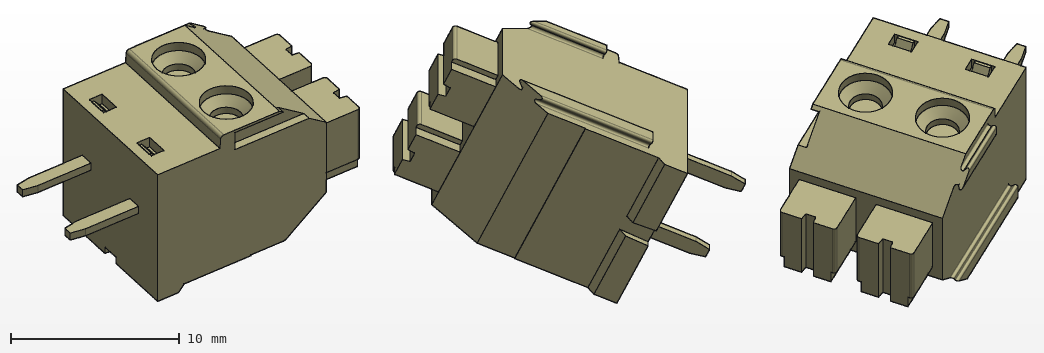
import cadquery as cq
import math


POLE_COUNT = 2
POLE_PITCH = 5.0
FIRST_POLE_X = 2.48

BODY_WIDTH = FIRST_POLE_X * 2 + POLE_PITCH
BODY_LENGTH = 12.12
TOP_Z = 10.5
SHOULDER_Z = 9.58
SHOULDER_Y = 4.47
RIDGE_FRONT_Y = 4.53
RIDGE_BACK_Y = 8.75
RIDGE_FILLET = 0.24
BACK_FACE_TOP_Z = 8.15
BACK_FACE_BOTTOM_Z = 2.87
LOWER_SLOPE_FRONT_Y = 9.15
BASE_STEP_Y = 6.7
BASE_BACK_Z = 0.53
BASE_Z = 0.48
FOOT_TOP_Y = 1.9
FOOT_BOTTOM_Y = 1.5
FOOT_NOTCH_FRONT_WIDTH = 1.15
FOOT_NOTCH_BACK_WIDTH = 0.99

HOLE_Y = 6.61
HOLE_DIAMETER = 3.2
HOLE_INNER_DIAMETER = 2.0
HOLE_STRAIGHT_DEPTH = 0.61
HOLE_CONE_DEPTH = 1.15
HOLE_DEPTH = 1.62

POCKET_WIDTH = 1.5
POCKET_FRONT_Y = 0.71
POCKET_BACK_Y = 1.62
POCKET_DEPTH = 0.71
WEDGE_WIDTH = 1.05
WEDGE_BACK_Y = 1.45
WEDGE_CREST_Y = 0.9
WEDGE_CREST_DROP = 0.04

CLAMP_WIDTH = 3.68
CLAMP_END_Y = 15.0
CLAMP_TOP_Z = 7.5
CLAMP_STEP_Z = 3.75
CLAMP_BOTTOM_Z = 2.91
CLAMP_FILLET = 0.2
CLAMP_INSET = 0.32
CLAMP_NOTCH_MOUTH = 0.77
CLAMP_NOTCH_FLOOR = 0.63
CLAMP_NOTCH_DEPTH = 0.48

PIN_WIDTH = 0.91
PIN_TIP_WIDTH = 0.57
PIN_LENGTH = 4.8
PIN_TAPER_LENGTH = 0.97
PIN_TOP_Z = 5.88
PIN_BOTTOM_Z = 5.35

UPPER_RAIL_Z = 9.66
UPPER_RAIL_FRONT_Y = 5.55
UPPER_RAIL_REACH = 0.55
UPPER_RAIL_HEIGHT = 0.8
UPPER_NECK_HEIGHT = 0.5
UPPER_ROOT_HEIGHT = 0.77
LOWER_RAIL_Z = 1.58
LOWER_RAIL_FRONT_Y = 2.55
LOWER_RAIL_REACH = 0.61
LOWER_RAIL_HEIGHT = 1.15
LOWER_NECK_HEIGHT = 0.65
LOWER_ROOT_HEIGHT = 0.91
RAIL_TIP_RADIUS = 0.129
NECK_START_X = -0.24
NECK_MIDDLE_X = -0.14
SLOT_DEPTH = 0.55
SLOT_HEIGHT = 1.29

POLE_XS = [FIRST_POLE_X + i * POLE_PITCH for i in range(POLE_COUNT)]


def box(x_range, y_range, z_range):
    """Box between two limits on each axis."""
    sizes = [high - low for low, high in (x_range, y_range, z_range)]
    corner = (x_range[0], y_range[0], z_range[0])
    return cq.Workplane("XY").box(*sizes, centered=False).translate(corner)


def around(center, width):
    """Limits of a span of the given width about a center."""
    return (center - width / 2, center + width / 2)


def housing_prism(x_start, x_end):
    """Side outline of the housing, extruded along X."""
    outline = [
        (0, 0),
        (0, SHOULDER_Z),
        (SHOULDER_Y, SHOULDER_Z),
        (RIDGE_FRONT_Y, TOP_Z),
        (RIDGE_BACK_Y, TOP_Z),
        (BODY_LENGTH, BACK_FACE_TOP_Z),
        (BODY_LENGTH, BACK_FACE_BOTTOM_Z),
        (LOWER_SLOPE_FRONT_Y, BASE_BACK_Z),
        (BASE_STEP_Y, BASE_BACK_Z),
        (BASE_STEP_Y, BASE_Z),
        (FOOT_TOP_Y, BASE_Z),
        (FOOT_BOTTOM_Y, 0),
    ]
    plane = cq.Workplane("YZ", origin=(x_start, 0, 0))
    return plane.polyline(outline).close().extrude(x_end - x_start)


def foot_notch():
    """Notch through the foot that narrows slightly from front to back."""
    middle_x = BODY_WIDTH / 2
    outline = [
        (middle_x - FOOT_NOTCH_FRONT_WIDTH / 2, 0),
        (middle_x + FOOT_NOTCH_FRONT_WIDTH / 2, 0),
        (middle_x + FOOT_NOTCH_BACK_WIDTH / 2, FOOT_TOP_Y),
        (middle_x - FOOT_NOTCH_BACK_WIDTH / 2, FOOT_TOP_Y),
    ]
    return cq.Workplane("XY").polyline(outline).close().extrude(BASE_Z)


def housing():
    """Housing with its rounded ridge, foot notch and mating slot."""
    body = housing_prism(0, BODY_WIDTH)
    ridge_edge = cq.selectors.NearestToPointSelector((BODY_WIDTH / 2, RIDGE_FRONT_Y, TOP_Z))
    body = body.edges(ridge_edge).fillet(RIDGE_FILLET)
    slot = box(
        (BODY_WIDTH - SLOT_DEPTH, BODY_WIDTH),
        (UPPER_RAIL_FRONT_Y, BODY_LENGTH),
        around(UPPER_RAIL_Z, SLOT_HEIGHT),
    )
    return body.cut(foot_notch()).cut(slot)


def rail(center_z, front_y, reach, height, neck_height, root_height):
    """Dovetail rail with rounded tips, ending flush with the sloping back of the housing."""
    tip_x = -reach + RAIL_TIP_RADIUS
    tip_z = height / 2 - RAIL_TIP_RADIUS

    def tip_point(degrees):
        angle = math.radians(degrees)
        return (tip_x + RAIL_TIP_RADIUS * math.cos(angle), tip_z + RAIL_TIP_RADIUS * math.sin(angle))

    tip_end = tip_point(45)
    neck_start = (NECK_START_X, tip_end[1] - (NECK_START_X - tip_end[0]))
    half = (
        cq.Workplane("XZ", origin=(0, front_y, center_z))
        .moveTo(0, 0)
        .lineTo(-reach, 0)
        .lineTo(-reach, tip_z)
        .threePointArc(tip_point(90), tip_end)
        .lineTo(*neck_start)
        .threePointArc((NECK_MIDDLE_X, neck_height / 2), (0, root_height / 2))
        .close()
        .extrude(front_y - BODY_LENGTH)
    )
    whole = half.union(half.mirror("XY", (0, 0, center_z)))
    return whole.intersect(housing_prism(-reach, 0))


def stepped_hole(x):
    """Straight mouth, conical lead-in and a narrower blind bore, as one revolved profile."""
    mouth_radius = HOLE_DIAMETER / 2
    bore_radius = HOLE_INNER_DIAMETER / 2
    profile = [
        (0, 0),
        (mouth_radius, 0),
        (mouth_radius, -HOLE_STRAIGHT_DEPTH),
        (bore_radius, -HOLE_CONE_DEPTH),
        (bore_radius, -HOLE_DEPTH),
        (0, -HOLE_DEPTH),
    ]
    plane = cq.Workplane("XZ", origin=(x, HOLE_Y, TOP_Z))
    return plane.polyline(profile).close().revolve(360, (0, 0), (0, 1))


def test_pocket(x):
    """Rectangular pocket with a wedge on its floor that rises to the front wall."""
    floor_z = SHOULDER_Z - POCKET_DEPTH
    crest_z = SHOULDER_Z - WEDGE_CREST_DROP
    pocket = box(around(x, POCKET_WIDTH), (POCKET_FRONT_Y, POCKET_BACK_Y), (floor_z, SHOULDER_Z))
    wedge_outline = [
        (POCKET_FRONT_Y, floor_z),
        (WEDGE_BACK_Y, floor_z),
        (WEDGE_CREST_Y, crest_z),
        (POCKET_FRONT_Y, crest_z),
    ]
    plane = cq.Workplane("YZ", origin=(x - WEDGE_WIDTH / 2, 0, 0))
    wedge = plane.polyline(wedge_outline).close().extrude(WEDGE_WIDTH)
    return pocket.cut(wedge)


def clamp(x):
    """Clamp block with rounded end corners, a narrower lower part and a notch in its end."""
    y_range = (BODY_LENGTH, CLAMP_END_Y)
    block = box(around(x, CLAMP_WIDTH), y_range, (CLAMP_STEP_Z, CLAMP_TOP_Z))
    block = block.edges("|Z and >Y").fillet(CLAMP_FILLET)
    lower_width = CLAMP_WIDTH - 2 * CLAMP_INSET
    lower = box(around(x, lower_width), y_range, (CLAMP_BOTTOM_Z, CLAMP_STEP_Z))
    notch_floor_y = CLAMP_END_Y - CLAMP_NOTCH_DEPTH
    notch_outline = [
        (x - CLAMP_NOTCH_MOUTH / 2, CLAMP_END_Y),
        (x - CLAMP_NOTCH_FLOOR / 2, notch_floor_y),
        (x + CLAMP_NOTCH_FLOOR / 2, notch_floor_y),
        (x + CLAMP_NOTCH_MOUTH / 2, CLAMP_END_Y),
    ]
    plane = cq.Workplane("XY", origin=(0, 0, CLAMP_BOTTOM_Z))
    notch = plane.polyline(notch_outline).close().extrude(CLAMP_TOP_Z - CLAMP_BOTTOM_Z)
    return block.union(lower).cut(notch)


def pin(x):
    """Flat solder pin with a tapered tip."""
    taper_y = PIN_TAPER_LENGTH - PIN_LENGTH
    outline = [
        (x - PIN_WIDTH / 2, 0),
        (x - PIN_WIDTH / 2, taper_y),
        (x - PIN_TIP_WIDTH / 2, -PIN_LENGTH),
        (x + PIN_TIP_WIDTH / 2, -PIN_LENGTH),
        (x + PIN_WIDTH / 2, taper_y),
        (x + PIN_WIDTH / 2, 0),
    ]
    plane = cq.Workplane("XY", origin=(0, 0, PIN_BOTTOM_Z))
    return plane.polyline(outline).close().extrude(PIN_TOP_Z - PIN_BOTTOM_Z)


result = housing()
for pole_x in POLE_XS:
    result = result.cut(stepped_hole(pole_x)).cut(test_pocket(pole_x))
    result = result.union(clamp(pole_x)).union(pin(pole_x))

upper_rail = rail(
    UPPER_RAIL_Z,
    UPPER_RAIL_FRONT_Y,
    UPPER_RAIL_REACH,
    UPPER_RAIL_HEIGHT,
    UPPER_NECK_HEIGHT,
    UPPER_ROOT_HEIGHT,
)
lower_rail = rail(
    LOWER_RAIL_Z,
    LOWER_RAIL_FRONT_Y,
    LOWER_RAIL_REACH,
    LOWER_RAIL_HEIGHT,
    LOWER_NECK_HEIGHT,
    LOWER_ROOT_HEIGHT,
)
result = result.union(upper_rail).union(lower_rail)